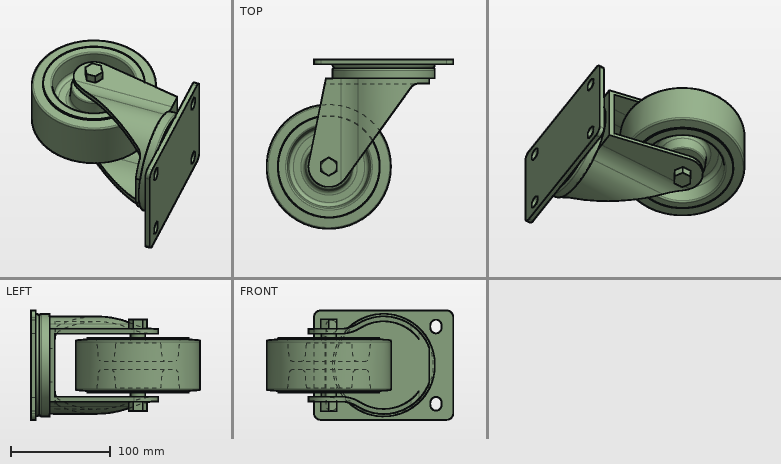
import math

import cadquery as cq


PLATE_X = 140.0
PLATE_Z = 110.0
PLATE_THICKNESS = 5.0
PLATE_CORNER_RADIUS = 7.0
SLOT_PITCH_X = 105.0
SLOT_PITCH_Z = 77.5
SLOT_WIDTH = 11.0
SLOT_LENGTH = 13.5

HEAD_RADIUS = 103.04 / 2
HEAD_NECK_RADIUS = HEAD_RADIUS - 2.0
HEAD_FILLET = HEAD_RADIUS - HEAD_NECK_RADIUS
HEAD_NECK_Y = -8.6
HEAD_BOTTOM_Y = -19.0
DISH_ARC_RADIUS = 4.0

WHEEL_OFFSET_X = -55.0
WHEEL_CENTER_Y = -107.5
TREAD_RADIUS = 125.0 / 2
TREAD_EDGE_ROUNDING = 1.6
TREAD_EDGE_Z = 23.6
TREAD_INNER_RADIUS = 51.3
TREAD_INNER_Z = 26.0
RIM_STEP_Z = 26.6
RIM_RADIUS = 101.56 / 2
RIM_HALF_WIDTH = 27.5
RIM_INNER_RADIUS = 43.5
RIM_EDGE_ROUNDING = 1.6
WEB_HALF_THICKNESS = 4.0
WEB_OUTER_RADIUS = 35.8
WEB_INNER_RADIUS = 28.3
WEB_FILLET = 4.3
HUB_TOP_RADIUS = 21.7
HUB_HALF_WIDTH = 22.5
HUB_EDGE_ROUNDING = 1.1
AXLE_RADIUS = 15.02 / 2
AXLE_HALF_LENGTH = 46.0
BOLT_ACROSS_FLATS = 16.0

FORK_THICKNESS = 5.0
FORK_HEAD_RADIUS = 49.0
FORK_BASE_THICKNESS = 5.3
FORK_LEG_OUTER_Z = 36.5
FORK_BEND_RADIUS = 32.0
FORK_FRONT_X = 46.0
FORK_BACK_X = -58.0
FORK_OPEN_END_X = 2 * FORK_BACK_X
FORK_END_RADIUS = 20.4
FORK_SLOPE_CORNER_X = 30.3
FORK_SLOPE_FILLET = 10.0
FORK_INNER_FRONT_X = 39.0


def mounting_plate():
    """Rounded plate with four slots that run along Z."""
    plate = (
        cq.Workplane("XZ")
        .rect(PLATE_X, PLATE_Z)
        .extrude(PLATE_THICKNESS)
        .edges("|Y")
        .fillet(PLATE_CORNER_RADIUS)
    )
    slots = (
        cq.Workplane("XZ")
        .rect(SLOT_PITCH_X, SLOT_PITCH_Z, forConstruction=True)
        .vertices()
        .slot2D(SLOT_LENGTH, SLOT_WIDTH, 90)
        .extrude(PLATE_THICKNESS)
    )
    return plate.cut(slots)


def swivel_head():
    """Turned body: a dish under the plate, a narrow neck and a ring with a rounded upper edge."""
    dish_drop = math.sqrt(DISH_ARC_RADIUS**2 - (DISH_ARC_RADIUS - HEAD_FILLET) ** 2)
    dish_angle = math.asin(dish_drop / DISH_ARC_RADIUS)
    dish_center_x = HEAD_RADIUS - DISH_ARC_RADIUS
    dish_top_y = HEAD_NECK_Y + dish_drop
    dish_middle = (
        dish_center_x + DISH_ARC_RADIUS * math.cos(dish_angle / 2),
        dish_top_y - DISH_ARC_RADIUS * math.sin(dish_angle / 2),
    )
    ring_middle = (
        HEAD_NECK_RADIUS + HEAD_FILLET * math.sin(math.pi / 4),
        HEAD_NECK_Y - HEAD_FILLET * (1 - math.cos(math.pi / 4)),
    )
    return (
        cq.Workplane("XY")
        .moveTo(0, -PLATE_THICKNESS)
        .lineTo(HEAD_RADIUS, -PLATE_THICKNESS)
        .lineTo(HEAD_RADIUS, dish_top_y)
        .threePointArc(dish_middle, (HEAD_NECK_RADIUS, HEAD_NECK_Y))
        .threePointArc(ring_middle, (HEAD_RADIUS, HEAD_NECK_Y - HEAD_FILLET))
        .lineTo(HEAD_RADIUS, HEAD_BOTTOM_Y)
        .lineTo(0, HEAD_BOTTOM_Y)
        .close()
        .revolve(360, (0, 0), (0, 1))
    )


def fork_outline(inset, front_x):
    """Fork cross-section: straight legs that swell through S-bends into a round head.

    The outline is moved inwards by `inset` and cut straight at `front_x`.
    """
    leg_z = FORK_LEG_OUTER_Z - inset
    head_radius = FORK_HEAD_RADIUS - inset
    bend_radius = FORK_BEND_RADIUS + inset
    bend_center_z = leg_z + bend_radius
    center_distance = head_radius + bend_radius
    bend_start_x = -math.sqrt(center_distance**2 - bend_center_z**2)
    bend_angle = math.acos(bend_center_z / center_distance)
    join = (-head_radius * math.sin(bend_angle), head_radius * math.cos(bend_angle))
    bend_middle = (
        bend_start_x + bend_radius * math.sin(bend_angle / 2),
        bend_center_z - bend_radius * math.cos(bend_angle / 2),
    )
    front_z = math.sqrt(head_radius**2 - front_x**2)

    def mirrored(point):
        return (point[0], -point[1])

    return (
        cq.Workplane("XZ")
        .moveTo(FORK_OPEN_END_X, leg_z)
        .lineTo(bend_start_x, leg_z)
        .threePointArc(bend_middle, join)
        .threePointArc((0, head_radius), (front_x, front_z))
        .lineTo(front_x, -front_z)
        .threePointArc((0, -head_radius), mirrored(join))
        .threePointArc(mirrored(bend_middle), (bend_start_x, -leg_z))
        .lineTo(FORK_OPEN_END_X, -leg_z)
        .close()
    )


def tangent_point(x, y, side):
    """Point where the line from (x, y) touches the rounded leg end; side is -1 for left, 1 for right."""
    dx = x - WHEEL_OFFSET_X
    dy = y - WHEEL_CENTER_Y
    angle = math.atan2(dy, dx) - side * math.acos(FORK_END_RADIUS / math.hypot(dx, dy))
    return (
        WHEEL_OFFSET_X + FORK_END_RADIUS * math.cos(angle),
        WHEEL_CENTER_Y + FORK_END_RADIUS * math.sin(angle),
    )


def fork_side_profile():
    """Side silhouette of the fork, extruded across its full width."""
    base_bottom_y = HEAD_BOTTOM_Y - FORK_BASE_THICKNESS
    slope_top = (FORK_SLOPE_CORNER_X, base_bottom_y)
    back_tangent = tangent_point(FORK_BACK_X, HEAD_BOTTOM_Y, -1)
    slope_tangent = tangent_point(*slope_top, 1)
    profile = (
        cq.Workplane("XY")
        .moveTo(FORK_BACK_X, HEAD_BOTTOM_Y)
        .lineTo(*back_tangent)
        .threePointArc((WHEEL_OFFSET_X, WHEEL_CENTER_Y - FORK_END_RADIUS), slope_tangent)
        .lineTo(*slope_top)
        .lineTo(FORK_FRONT_X, base_bottom_y)
        .lineTo(FORK_FRONT_X, HEAD_BOTTOM_Y)
        .close()
        .extrude(FORK_HEAD_RADIUS, both=True)
    )
    corner = cq.selectors.NearestToPointSelector((*slope_top, 0))
    return profile.edges("|Z").edges(corner).fillet(FORK_SLOPE_FILLET)


def fork():
    """Sheet fork: flat base under the head and two legs down to the axle."""
    depth = HEAD_BOTTOM_Y - WHEEL_CENTER_Y + FORK_END_RADIUS
    outer = fork_outline(0, FORK_FRONT_X).extrude(depth).translate((0, HEAD_BOTTOM_Y, 0))
    inner_top_y = HEAD_BOTTOM_Y - FORK_BASE_THICKNESS
    inner = (
        fork_outline(FORK_THICKNESS, FORK_INNER_FRONT_X)
        .extrude(depth)
        .translate((0, inner_top_y, 0))
    )
    return outer.intersect(fork_side_profile()).cut(inner)


def wheel():
    """Turned wheel: tread, rim, recessed web and hub; the rim bore and the hub taper towards the web."""
    web_fillet_z = WEB_HALF_THICKNESS + WEB_FILLET
    bore_bottom = (WEB_OUTER_RADIUS + WEB_FILLET, web_fillet_z)
    hub_bottom = (WEB_INNER_RADIUS - WEB_FILLET, web_fillet_z)
    bore_top = (RIM_INNER_RADIUS - RIM_EDGE_ROUNDING, RIM_HALF_WIDTH - RIM_EDGE_ROUNDING)
    hub_top = (HUB_TOP_RADIUS + HUB_EDGE_ROUNDING, HUB_HALF_WIDTH - HUB_EDGE_ROUNDING)
    tread_shoulder = (TREAD_RADIUS - TREAD_EDGE_ROUNDING, TREAD_EDGE_Z + TREAD_EDGE_ROUNDING)
    half = (
        cq.Workplane("XZ")
        .lineTo(TREAD_RADIUS, 0)
        .lineTo(TREAD_RADIUS, TREAD_EDGE_Z)
        .radiusArc(tread_shoulder, -TREAD_EDGE_ROUNDING)
        .lineTo(TREAD_INNER_RADIUS, TREAD_INNER_Z)
        .lineTo(RIM_RADIUS, RIM_STEP_Z)
        .lineTo(RIM_RADIUS, RIM_HALF_WIDTH)
        .lineTo(RIM_INNER_RADIUS, RIM_HALF_WIDTH)
        .radiusArc(bore_top, -RIM_EDGE_ROUNDING)
        .lineTo(*bore_bottom)
        .radiusArc((WEB_OUTER_RADIUS, WEB_HALF_THICKNESS), WEB_FILLET)
        .lineTo(WEB_INNER_RADIUS, WEB_HALF_THICKNESS)
        .radiusArc(hub_bottom, WEB_FILLET)
        .lineTo(*hub_top)
        .radiusArc((HUB_TOP_RADIUS, HUB_HALF_WIDTH), -HUB_EDGE_ROUNDING)
        .lineTo(0, HUB_HALF_WIDTH)
        .close()
        .revolve(360, (0, 0), (0, 1))
    )
    return half.union(half.mirror("XY"))


def axle_bolt():
    """Axle through both legs with a hexagon head on each end, corners pointing along Y."""
    shank = cq.Workplane("XY").circle(AXLE_RADIUS).extrude(FORK_LEG_OUTER_Z, both=True)
    across_corners = BOLT_ACROSS_FLATS / math.cos(math.pi / 6)
    head = (
        cq.Workplane("XY")
        .workplane(offset=FORK_LEG_OUTER_Z)
        .polygon(6, across_corners)
        .extrude(AXLE_HALF_LENGTH - FORK_LEG_OUTER_Z)
        .rotate((0, 0, 0), (0, 0, 1), 90)
    )
    return shank.union(head).union(head.mirror("XY"))


wheel_set = wheel().union(axle_bolt()).translate((WHEEL_OFFSET_X, WHEEL_CENTER_Y, 0))
result = mounting_plate().union(swivel_head()).union(fork()).union(wheel_set)